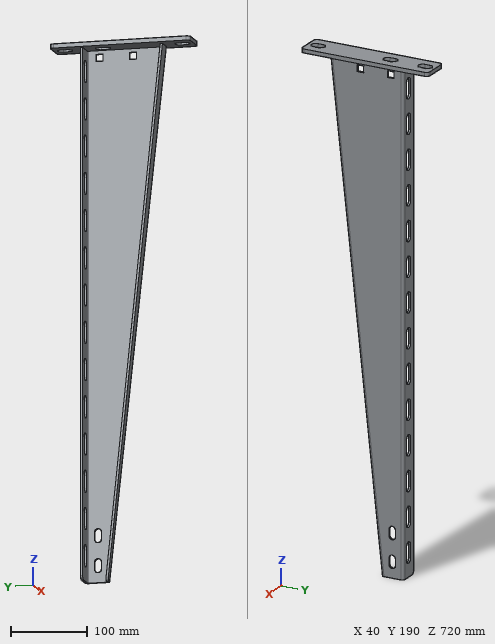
import cadquery as cq


total_height = 720.0
cut_margin = 7.0
slot_angle = 90

plate_width = 40.0
plate_length = 190.0
plate_thickness = 6.0
plate_corner_radius = 5.0
plate_slot_width = 12.0
plate_slot_length = 20.0
plate_slot_end_offset = 80.0
plate_slot_middle_y = 28.0

bracket_height = total_height - plate_thickness
channel_width = 28.0
sheet_thickness = 3.1
outer_bend_radius = 4.0
inner_bend_radius = outer_bend_radius - sheet_thickness
top_depth = 110.0
bottom_depth = 33.0
back_y = top_depth / 2
front_top_y = back_y - top_depth
front_bottom_y = back_y - bottom_depth
inner_back_y = back_y - sheet_thickness
open_x = -channel_width / 2
web_x = channel_width / 2
top_lip_setback = 5.0
bottom_lip_setback = 16.0
lip_corner_radius = 5.0

flange_slot_count = 14
flange_slot_width = 11.0
flange_slot_length = 29.5
flange_slot_first_z = 34.5
flange_slot_last_z = 685.0
flange_slot_pitch = (flange_slot_last_z - flange_slot_first_z) / (flange_slot_count - 1)

square_hole_size = 9.0
square_hole_drop = 15.0
square_hole_z = total_height - square_hole_drop
square_hole_ys = (36.0, -9.0)
web_slot_width = 9.0
web_slot_length = 19.0
web_slot_y = 38.0
web_slot_zs = (23.0, 63.0)


def make_plate():
    """Flat plate with rounded corners and three slots along Y."""
    slot_centres = [(0, plate_slot_end_offset), (0, plate_slot_middle_y), (0, -plate_slot_end_offset)]
    return (
        cq.Workplane("XY", origin=(0, 0, bracket_height))
        .rect(plate_width, plate_length)
        .extrude(plate_thickness)
        .edges("|Z")
        .fillet(plate_corner_radius)
        .faces(">Z")
        .workplane()
        .pushPoints(slot_centres)
        .slot2D(plate_slot_length, plate_slot_width, slot_angle)
        .cutThruAll()
    )


def round_bends(prism, radius):
    """Round the two long edges on the +X side, where the flanges meet the web."""
    bend_edges = prism.faces(">X").edges("not(|Y)")
    return prism.newObject(bend_edges.vals()).fillet(radius)


def make_channel():
    """Tapered channel: web at +X, vertical back flange at +Y, sloping front flange at -Y."""
    slope = (front_top_y - front_bottom_y) / bracket_height
    front_run = sheet_thickness * (1 + slope**2) ** 0.5
    margin_run = slope * cut_margin

    outer = (
        cq.Workplane("YZ", origin=(open_x, 0, 0))
        .polyline([(back_y, 0), (back_y, bracket_height), (front_top_y, bracket_height), (front_bottom_y, 0)])
        .close()
        .extrude(channel_width)
    )
    outer = round_bends(outer, outer_bend_radius)

    inner = (
        cq.Workplane("YZ", origin=(open_x - cut_margin, 0, 0))
        .polyline([
            (inner_back_y, -cut_margin),
            (inner_back_y, bracket_height + cut_margin),
            (front_top_y + front_run + margin_run, bracket_height + cut_margin),
            (front_bottom_y + front_run - margin_run, -cut_margin),
        ])
        .close()
        .extrude(channel_width - sheet_thickness + cut_margin)
    )
    return outer.cut(round_bends(inner, inner_bend_radius))


def flange_region(lip_bottom_x, lip_top_x, start_y, end_y):
    """Space from a flange's free edge, with its rounded bottom corner, across to the web."""
    return (
        cq.Workplane("XZ", origin=(0, end_y, 0))
        .polyline([(lip_bottom_x, 0), (lip_top_x, bracket_height), (web_x, bracket_height), (web_x, 0)])
        .close()
        .extrude(end_y - start_y)
        .edges(cq.NearestToPointSelector((lip_bottom_x, (start_y + end_y) / 2, 0)))
        .fillet(lip_corner_radius)
    )


def flange_slots():
    """Row of upright slots through the back flange."""
    centres = [(0, flange_slot_first_z + i * flange_slot_pitch) for i in range(flange_slot_count)]
    return (
        cq.Workplane("XZ", origin=(0, back_y + cut_margin, 0))
        .pushPoints(centres)
        .slot2D(flange_slot_length, flange_slot_width, slot_angle)
        .extrude(sheet_thickness + 2 * cut_margin)
    )


def web_holes():
    """Two square holes near the top of the web and two upright slots near its bottom."""
    web = cq.Workplane("YZ", origin=(web_x - sheet_thickness - cut_margin, 0, 0))
    cut_depth = sheet_thickness + 2 * cut_margin
    squares = (
        web.pushPoints([(y, square_hole_z) for y in square_hole_ys])
        .rect(square_hole_size, square_hole_size)
        .extrude(cut_depth)
    )
    slots = (
        web.pushPoints([(web_slot_y, z) for z in web_slot_zs])
        .slot2D(web_slot_length, web_slot_width, slot_angle)
        .extrude(cut_depth)
    )
    return squares.union(slots)


def make_bracket():
    """Channel with trimmed flange edges and all of its holes."""
    front_region = flange_region(
        open_x + bottom_lip_setback, open_x + top_lip_setback, front_top_y, inner_back_y
    )
    back_region = flange_region(open_x, open_x, inner_back_y, back_y)
    trimmed_channel = make_channel().intersect(front_region.union(back_region))
    return trimmed_channel.cut(flange_slots()).cut(web_holes())


plate = make_plate()
bracket = make_bracket()
result = cq.Compound.makeCompound([plate.val(), bracket.val()])